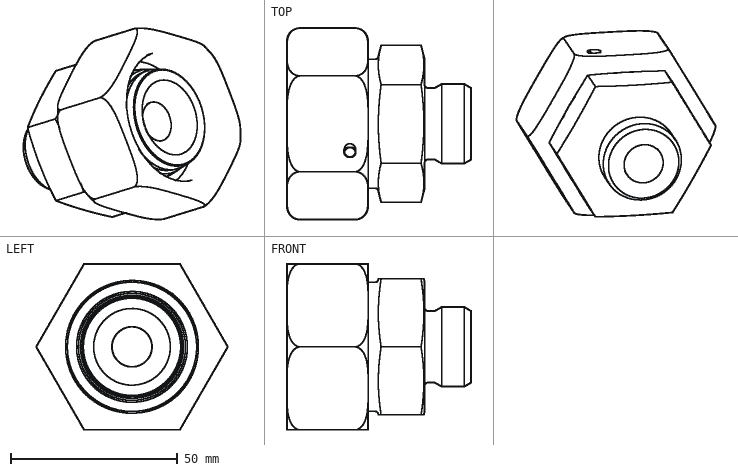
import cadquery as cq
import math


hex_half_angle = math.radians(30)

nut_length = 24.5
nut_across_flats = 50.0
nut_corner_round = 4.05
nut_bore_diameter = 40.0
nut_rear_bore_diameter = 39.24
entry_outer_diameter = 45.25
entry_outer_round = 2.0
entry_inner_round = 1.3
entry_angle = math.radians(60)

wire_x = 19.0
wire_diameter = 3.0
wire_hole_diameter = 3.2
wire_hole_angle = math.radians(60)
wire_hole_mouth_diameter = 3.6
wire_hole_mouth_depth = 1.0

through_bore_diameter = 12.0
cone_face_x = 3.35
cone_face_diameter = 29.8
cone_edge_chamfer = 0.25
cone_angle = math.radians(12)
bore_mouth_diameter = 23.1
seal_groove_start = 2.9
seal_groove_width = 2.9
seal_groove_floor_diameter = 26.8
cone_land_diameter = 33.4
cone_root_round = 0.85

collar_diameter = 38.95
collar_x = 13.5
collar_root_round = 0.8
hex_x = 27.3
hex_end_x = 41.5
hex_across_flats = 41.0
hex_face_diameter = 39.24
hex_chamfer_angle = math.radians(15)

stud_end_x = 55.5
stud_diameter = 24.0
undercut_diameter = 21.6
undercut_face_round = 1.0
undercut_cone_round = 0.7
thread_start_x = 46.6
stud_chamfer_angle = math.radians(30)

seal_diameter = 2.0

wire_ring_diameter = collar_diameter


def hexagon(start_x, length, across_flats):
    """Hexagonal bar along X with two flats facing +Z and -Z."""
    corner_diameter = across_flats / math.cos(hex_half_angle)
    return cq.Workplane("YZ", origin=(start_x, 0, 0)).polygon(6, corner_diameter).extrude(length)


def revolve_about_x(profile):
    """Turn a closed profile, drawn as (X, radius), about the X axis."""
    return profile.close().revolve(360, (0, 0, 0), (1, 0, 0))


def ring(centre_x, centre_diameter, section_diameter):
    """Round-section ring about the X axis."""
    return cq.Workplane(
        cq.Solid.makeTorus(
            centre_diameter / 2, section_diameter / 2, cq.Vector(centre_x, 0, 0), cq.Vector(1, 0, 0)
        )
    )


def arc_point(centre, radius, angle):
    """Point on a circle in the (X, radius) plane; the angle is measured from +X."""
    return (centre[0] + radius * math.cos(angle), centre[1] + radius * math.sin(angle))


def make_wire():
    """Retaining wire; the same ring also forms the grooves that hold it."""
    return ring(wire_x, wire_ring_diameter, wire_diameter)


def nut_bore():
    """Inside of the nut: a rounded conical entry, the main bore and a tighter rear bore."""
    bore_r = nut_bore_diameter / 2
    quarter = math.pi / 2
    outer_centre = (entry_outer_round, entry_outer_diameter / 2)
    outer_middle = arc_point(outer_centre, entry_outer_round, math.pi + (quarter - entry_angle) / 2)
    cone_start = arc_point(outer_centre, entry_outer_round, math.pi + quarter - entry_angle)
    inner_r = bore_r + entry_inner_round
    cone_end_r = inner_r - entry_inner_round * math.cos(entry_angle)
    cone_end_x = cone_start[0] + (cone_start[1] - cone_end_r) / math.tan(entry_angle)
    inner_centre = (cone_end_x + entry_inner_round * math.sin(entry_angle), inner_r)
    inner_middle = arc_point(inner_centre, entry_inner_round, -quarter - entry_angle / 2)
    rear_r = nut_rear_bore_diameter / 2
    return revolve_about_x(
        cq.Workplane("XY")
        .moveTo(0, 0)
        .lineTo(0, outer_centre[1])
        .threePointArc(outer_middle, cone_start)
        .lineTo(cone_end_x, cone_end_r)
        .threePointArc(inner_middle, (inner_centre[0], bore_r))
        .lineTo(wire_x, bore_r)
        .lineTo(wire_x, rear_r)
        .lineTo(nut_length, rear_r)
        .lineTo(nut_length, 0)
    )


def wire_hole():
    """Stepped hole that leads from the top flat along the tangent of the wire groove."""
    sine = math.sin(wire_hole_angle)
    cosine = math.cos(wire_hole_angle)
    ring_r = wire_ring_diameter / 2
    tangent_point = (wire_x, -ring_r * sine, ring_r * cosine)
    tangent_plane = cq.Plane(origin=tangent_point, xDir=(1, 0, 0), normal=(0, cosine, sine))
    length_to_flat = (nut_across_flats / 2 - tangent_point[2]) / sine
    beyond_flat = wire_hole_mouth_diameter
    hole = cq.Workplane(tangent_plane).circle(wire_hole_diameter / 2).extrude(length_to_flat)
    mouth = (
        cq.Workplane(tangent_plane)
        .workplane(offset=length_to_flat - wire_hole_mouth_depth)
        .circle(wire_hole_mouth_diameter / 2)
        .extrude(wire_hole_mouth_depth + beyond_flat)
    )
    return hole.union(mouth)


def make_nut():
    corner_diameter = nut_across_flats / math.cos(hex_half_angle)
    envelope = (
        cq.Workplane("YZ").circle(corner_diameter / 2).extrude(nut_length).edges().fillet(nut_corner_round)
    )
    blank = hexagon(0, nut_length, nut_across_flats).intersect(envelope)
    return blank.cut(nut_bore()).cut(make_wire()).cut(wire_hole())


def make_cone_and_collar():
    """Sealing cone with its O-ring groove, and the collar that the nut turns on."""
    slope = math.tan(cone_angle)
    face_r = cone_face_diameter / 2
    groove_start_x = cone_face_x + seal_groove_start
    groove_end_x = groove_start_x + seal_groove_width
    floor_r = seal_groove_floor_diameter / 2
    land_r = cone_land_diameter / 2
    land_x = cone_face_x + (land_r - face_r) / slope
    root_x = collar_x - cone_root_round
    root_centre = (root_x, land_r + cone_root_round)
    root_middle = arc_point(root_centre, cone_root_round, -math.pi / 4)
    collar_r = collar_diameter / 2
    edge_x = cone_face_x + cone_edge_chamfer
    return revolve_about_x(
        cq.Workplane("XY")
        .moveTo(cone_face_x, 0)
        .lineTo(cone_face_x, face_r - cone_edge_chamfer)
        .lineTo(edge_x, face_r + cone_edge_chamfer * slope)
        .lineTo(groove_start_x, face_r + seal_groove_start * slope)
        .lineTo(groove_start_x, floor_r)
        .lineTo(groove_end_x, floor_r)
        .lineTo(groove_end_x, face_r + (groove_end_x - cone_face_x) * slope)
        .lineTo(land_x, land_r)
        .lineTo(root_x, land_r)
        .threePointArc(root_middle, (collar_x, root_centre[1]))
        .lineTo(collar_x, collar_r)
        .lineTo(hex_end_x, collar_r)
        .lineTo(hex_end_x, 0)
    )


def make_hex():
    """Hexagon with both ends chamfered and a rounded root next to the collar."""
    rise = math.tan(hex_chamfer_angle)
    corner_r = hex_across_flats / 2 / math.cos(hex_half_angle)
    face_r = hex_face_diameter / 2
    chamfer_length = (corner_r - face_r) * rise
    collar_r = collar_diameter / 2
    root_centre_r = collar_r + collar_root_round
    root_end_r = root_centre_r - collar_root_round * math.sin(hex_chamfer_angle)
    root_end_x = hex_x + (root_end_r - face_r) * rise
    root_centre = (root_end_x - collar_root_round * math.cos(hex_chamfer_angle), root_centre_r)
    root_middle = arc_point(root_centre, collar_root_round, -(math.pi / 2 + hex_chamfer_angle) / 2)
    envelope = revolve_about_x(
        cq.Workplane("XY")
        .moveTo(root_centre[0], 0)
        .lineTo(root_centre[0], collar_r)
        .threePointArc(root_middle, (root_end_x, root_end_r))
        .lineTo(hex_x + chamfer_length, corner_r)
        .lineTo(hex_end_x - chamfer_length, corner_r)
        .lineTo(hex_end_x, face_r)
        .lineTo(hex_end_x, 0)
    )
    return hexagon(root_centre[0], hex_end_x - root_centre[0], hex_across_flats).intersect(envelope)


def make_stud():
    """Stud with an undercut behind the hexagon and a chamfered end."""
    slope = math.tan(stud_chamfer_angle)
    stud_r = stud_diameter / 2
    undercut_r = undercut_diameter / 2
    face_centre = (hex_end_x + undercut_face_round, undercut_r + undercut_face_round)
    face_middle = arc_point(face_centre, undercut_face_round, -3 * math.pi / 4)
    cone_centre_r = undercut_r + undercut_cone_round
    cone_start_r = cone_centre_r - undercut_cone_round * math.cos(stud_chamfer_angle)
    cone_start_x = thread_start_x - (stud_r - cone_start_r) / slope
    cone_centre = (cone_start_x - undercut_cone_round * math.sin(stud_chamfer_angle), cone_centre_r)
    cone_middle = arc_point(cone_centre, undercut_cone_round, (stud_chamfer_angle - math.pi) / 2)
    return revolve_about_x(
        cq.Workplane("XY")
        .moveTo(hex_end_x, 0)
        .lineTo(hex_end_x, face_centre[1])
        .threePointArc(face_middle, (face_centre[0], undercut_r))
        .lineTo(cone_centre[0], undercut_r)
        .threePointArc(cone_middle, (cone_start_x, cone_start_r))
        .lineTo(thread_start_x, stud_r)
        .lineTo(stud_end_x - (stud_r - undercut_r) / slope, stud_r)
        .lineTo(stud_end_x, undercut_r)
        .lineTo(stud_end_x, 0)
    )


def body_bore():
    """Through bore with a 45 degree mouth in the cone face."""
    bore_r = through_bore_diameter / 2
    mouth_r = bore_mouth_diameter / 2
    return revolve_about_x(
        cq.Workplane("XY")
        .moveTo(cone_face_x, 0)
        .lineTo(cone_face_x, mouth_r)
        .lineTo(cone_face_x + mouth_r - bore_r, bore_r)
        .lineTo(stud_end_x, bore_r)
        .lineTo(stud_end_x, 0)
    )


def make_body():
    solid = make_cone_and_collar().union(make_hex()).union(make_stud())
    return solid.cut(body_bore()).cut(make_wire())


def make_o_ring():
    """O-ring resting on the floor of the groove in the sealing cone."""
    centre_x = cone_face_x + seal_groove_start + seal_groove_width / 2
    return ring(centre_x, seal_groove_floor_diameter + seal_diameter, seal_diameter)


nut = make_nut()
body = make_body()
wire = make_wire()
o_ring = make_o_ring()

result = cq.Compound.makeCompound([nut.val(), body.val(), wire.val(), o_ring.val()])